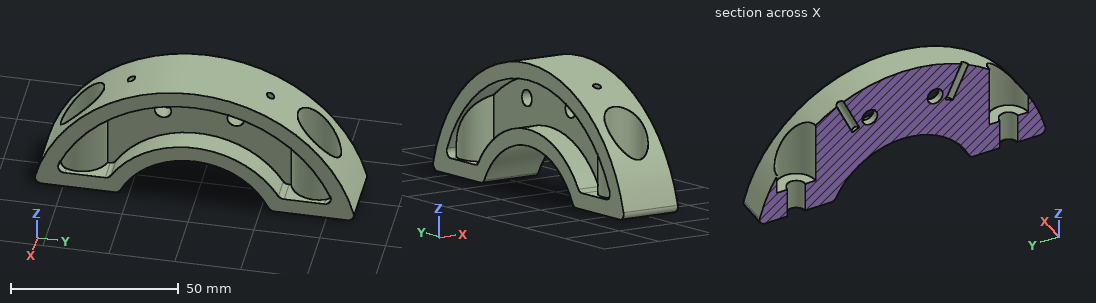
import cadquery as cq
import math

width = 20.0
length = 96.9
height = 40.0
corner_radius = 2.0
wall = 5.0
arch_thickness = 25.0

foot_center_y = length / 2 - corner_radius
foot_height = height - corner_radius
outer_radius = (foot_center_y**2 + foot_height**2 - corner_radius**2) / (2 * (height - 2 * corner_radius))
inner_radius = outer_radius - arch_thickness
axis_z = height - outer_radius

pocket_depth = (width - wall) / 2

bolt_y = 36.0
bolt_diameter = 6.0
counterbore_diameter = 13.0
boss_diameter = 17.0
counterbore_floor = 2 * wall

cross_hole_y = 11.05
cross_hole_z = 26.95
cross_hole_diameter = 5.0

radial_hole_diameter = 2.4
radial_hole_angle = 25


def arch(outer, inner, base_z, depth):
    """Arch segment above base_z with rounded corners, extruded from the -X face."""
    rise = base_z - axis_z
    outer_y = math.sqrt(outer**2 - rise**2)
    inner_y = math.sqrt(inner**2 - rise**2)
    return (
        cq.Workplane("YZ", origin=(-width / 2, 0, 0))
        .moveTo(-outer_y, base_z)
        .threePointArc((0, axis_z + outer), (outer_y, base_z))
        .lineTo(inner_y, base_z)
        .threePointArc((0, axis_z + inner), (-inner_y, base_z))
        .close()
        .extrude(depth)
        .edges("|X")
        .fillet(corner_radius)
    )


def upright_cylinder(y, diameter, base_z):
    """Vertical cylinder from base_z to the top of the part."""
    return cq.Workplane("XY", origin=(0, y, base_z)).circle(diameter / 2).extrude(height - base_z)


def radial_hole(angle):
    """Cutter pointing outward from the arch axis, reaching inward to mid-thickness of the arch."""
    tilt = math.radians(angle)
    direction = cq.Vector(0, math.sin(tilt), math.cos(tilt))
    start = cq.Vector(0, 0, axis_z) + direction * (outer_radius + inner_radius) / 2
    return cq.Solid.makeCylinder(radial_hole_diameter / 2, arch_thickness, start, direction)


body = arch(outer_radius, inner_radius, 0, width)
near_pocket = arch(outer_radius - wall, inner_radius + wall, wall, pocket_depth)
pockets = near_pocket.union(near_pocket.mirror("YZ"))

for side in (-1, 1):
    pockets = pockets.cut(upright_cylinder(side * bolt_y, boss_diameter, 0))
result = body.cut(pockets)

for side in (-1, 1):
    result = result.cut(upright_cylinder(side * bolt_y, bolt_diameter, 0))
    result = result.cut(upright_cylinder(side * bolt_y, counterbore_diameter, counterbore_floor))
    result = result.cut(radial_hole(side * radial_hole_angle))

cross_holes = (
    cq.Workplane("YZ", origin=(-width / 2, 0, 0))
    .pushPoints([(-cross_hole_y, cross_hole_z), (cross_hole_y, cross_hole_z)])
    .circle(cross_hole_diameter / 2)
    .extrude(width)
)
result = result.cut(cross_holes)